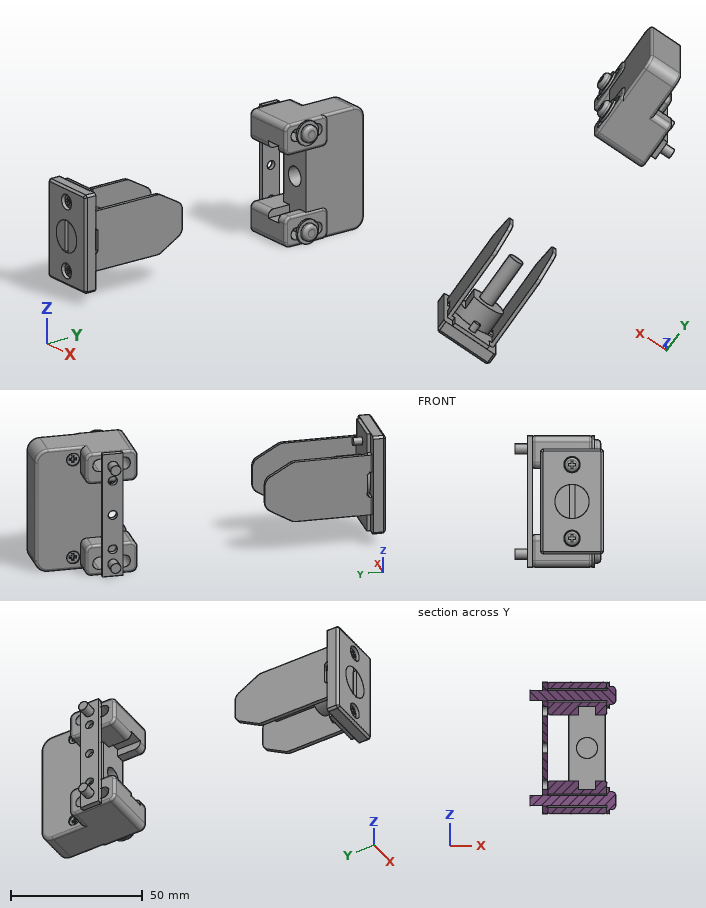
import cadquery as cq
import math

total_depth = 136.04

plate_width = 24.0
plate_height = 40.0
plate_thickness = 5.0
plate_chamfer = 0.9
sheet = 1.5
prong_outer_x = 10.7
prong_half_height = 12.2
prong_tip_y = 47.0
prong_taper_start_y = 36.0
prong_taper_angle = 30.0
prong_corner_radius = 4.0
bend_radius = 0.7
sheet_back_y = plate_thickness + sheet
tab_half_width = 8.0
tab_inset = 0.15
window_half_height = 5.1
window_chamfer = 1.0
window_end_y = 7.0

knob_radius = 6.5
driver_slot_width = 2.1
driver_slot_depth = 1.5
cam_radius = 8.0
cam_end_y = 16.0
cam_flat_x = 5.7
cam_flat_start_y = 10.2
shaft_radius = 3.1
shaft_end_y = 36.0

plate_screw_z = 14.0
plate_screw_radius = 1.5
plate_screw_end_y = 10.0
plate_head_radius = 2.75
plate_head_front_y = 0.9
plate_head_seat_y = 3.0
plate_head_fillet = 0.8
plate_counterbore_radius = 3.1

cross_span = 2.8
cross_arm = 0.9
cross_depth = 1.0

housing_depth = 38.0
housing_height = 50.0
housing_front_y = total_depth - housing_depth
body_half_width = 7.0
body_corner_radius = 5.0
edge_fillet = 1.0
foot_left_x = -15.0
foot_right_x = 7.55
foot_depth = 20.3
foot_inner_z = 12.5
foot_corner_radius = 2.5
wall_y = housing_front_y + foot_depth / 2
groove_width = 6.4
groove_depth = 3.2
socket_radius = 4.0
socket_depth = shaft_end_y - plate_thickness - foot_depth / 2
clamp_slot_length = 14.7
clamp_slot_width = 5.0
mark_y = 121.2
mark_radius = 2.5
mark_depth = 0.6

bar_thickness = 2.0
bar_width = 8.1
bar_left_x = foot_left_x - bar_thickness
bar_hole_radius = 1.75
bar_hole_pitch = 14.0

clamp_screw_z = 20.0
clamp_screw_radius = 2.0
clamp_screw_tip_x = -21.7
washer_radius = 5.0
washer_thickness = 0.95
clamp_head_radius = 3.5
clamp_head_rim = 0.95
clamp_head_crown_radius = 1.6
clamp_head_height = 2.35
clamp_head_bulge = 0.6

signs = (-1, 1)


def block(x0, x1, y0, y1, z0, z1):
    return cq.Workplane("XY").box(x1 - x0, y1 - y0, z1 - z0, centered=False).translate((x0, y0, z0))


def rod_along_x(radius, x0, x1, y, z):
    return cq.Workplane("YZ", origin=(x0, y, z)).circle(radius).extrude(x1 - x0)


def rod_along_y(radius, y0, y1, z=0.0):
    return cq.Workplane("XZ", origin=(0, y0, z)).circle(radius).extrude(y0 - y1)


def cross_cutter():
    """Two crossing bars centred on Z, from Z = 0 down to the recess depth."""
    arm_x = cq.Workplane("XY").rect(cross_span, cross_arm).extrude(-cross_depth)
    arm_y = cq.Workplane("XY").rect(cross_arm, cross_span).extrude(-cross_depth)
    return arm_x.union(arm_y)


def make_prong_sheet():
    """U-shaped sheet: two pointed prongs joined by a base whose tabs end just short of the plate edges."""
    taper = math.tan(math.radians(prong_taper_angle))
    tip_half_height = prong_half_height - (prong_tip_y - prong_taper_start_y) * taper
    outline = [
        (plate_thickness, -prong_half_height),
        (prong_taper_start_y, -prong_half_height),
        (prong_tip_y, -tip_half_height),
        (prong_tip_y, tip_half_height),
        (prong_taper_start_y, prong_half_height),
        (plate_thickness, prong_half_height),
    ]
    sheet_body = cq.Workplane("YZ", origin=(-prong_outer_x, 0, 0)).polyline(outline).close()
    sheet_body = sheet_body.extrude(2 * prong_outer_x)
    sheet_body = sheet_body.edges("|X and (not <Y)").fillet(prong_corner_radius)
    sheet_body = sheet_body.edges("<Y and |Z").fillet(bend_radius)
    inner_x = prong_outer_x - sheet
    sheet_body = sheet_body.cut(
        block(-inner_x, inner_x, sheet_back_y, prong_tip_y, -prong_half_height, prong_half_height)
    )
    half_height = plate_height / 2 - tab_inset
    tabs = block(-tab_half_width, tab_half_width, plate_thickness, sheet_back_y, -half_height, half_height)
    window = block(
        -prong_outer_x, prong_outer_x, plate_thickness, window_end_y, -window_half_height, window_half_height
    )
    window = window.edges("|X and >Y").chamfer(window_chamfer)
    return sheet_body.union(tabs).cut(window)


def make_face_plate():
    plate = block(
        -plate_width / 2, plate_width / 2, 0, plate_thickness, -plate_height / 2, plate_height / 2
    )
    plate = plate.edges("|Y").chamfer(plate_chamfer)
    plate = plate.faces("<Y").chamfer(plate_chamfer)
    plate = plate.union(make_prong_sheet())
    plate = plate.cut(rod_along_y(knob_radius, 0, plate_thickness))
    plate = plate.cut(rod_along_y(cam_radius, plate_thickness, sheet_back_y))
    for side in signs:
        z = side * plate_screw_z
        plate = plate.cut(rod_along_y(plate_counterbore_radius, 0, plate_head_seat_y, z))
        plate = plate.cut(rod_along_y(plate_screw_radius, 0, sheet_back_y, z))
    return plate


def make_cam():
    cam = rod_along_y(cam_radius, plate_thickness, cam_end_y)
    cam = cam.cut(block(cam_flat_x, cam_radius, cam_flat_start_y, cam_end_y, -cam_radius, cam_radius))
    cam = cam.union(rod_along_y(knob_radius, 0, plate_thickness))
    cam = cam.union(rod_along_y(shaft_radius, cam_end_y, shaft_end_y))
    half_slot = driver_slot_width / 2
    return cam.cut(block(-half_slot, half_slot, 0, driver_slot_depth, -knob_radius, knob_radius))


def make_plate_screw(z):
    head = rod_along_y(plate_head_radius, plate_head_front_y, plate_head_seat_y, z)
    head = head.faces("<Y").edges().fillet(plate_head_fillet)
    cross = cross_cutter().rotate((0, 0, 0), (1, 0, 0), 90).translate((0, plate_head_front_y, z))
    shank = rod_along_y(plate_screw_radius, plate_head_seat_y, plate_screw_end_y, z)
    return head.cut(cross).union(shank)


def make_foot(side):
    """Rounded foot with a groove, in line with the cam axis, in its face towards the middle."""
    z0 = foot_inner_z
    z1 = housing_height / 2
    foot = block(foot_left_x, foot_right_x, housing_front_y, housing_front_y + foot_depth, z0, z1)
    foot = foot.edges("|X").fillet(foot_corner_radius)
    foot = foot.faces("<X or >X").edges().fillet(edge_fillet)
    half_groove = groove_width / 2
    foot = foot.cut(block(-half_groove, half_groove, housing_front_y, wall_y, z0, z0 + groove_depth))
    return foot if side > 0 else foot.mirror("XY")


def make_housing():
    half_height = housing_height / 2
    body = block(-body_half_width, body_half_width, wall_y, total_depth, -half_height, half_height)
    body = body.edges("|X and >Y").fillet(body_corner_radius)
    body = body.faces("<X or >X").edges("not <Y").fillet(edge_fillet)
    for side in signs:
        body = body.union(make_foot(side))
    for side in signs:
        z = side * clamp_screw_z
        slot = cq.Workplane("YZ", origin=(foot_left_x, wall_y, z))
        slot = slot.slot2D(clamp_slot_length, clamp_slot_width).extrude(foot_right_x - foot_left_x)
        body = body.cut(slot)
        pocket_floor_x = mark_depth - body_half_width
        body = body.cut(rod_along_x(mark_radius, -body_half_width, pocket_floor_x, mark_y, z))
        cross = cross_cutter().rotate((0, 0, 0), (0, 1, 0), -90).translate((pocket_floor_x, mark_y, z))
        body = body.cut(cross)
    return body.cut(rod_along_y(socket_radius, wall_y, wall_y + socket_depth))


def make_clamp_bar():
    half_height = housing_height / 2
    bar = block(
        bar_left_x, foot_left_x, wall_y - bar_width / 2, wall_y + bar_width / 2, -half_height, half_height
    )
    for z in (-bar_hole_pitch, 0, bar_hole_pitch):
        bar = bar.cut(rod_along_x(bar_hole_radius, bar_left_x, foot_left_x, wall_y, z))
    for side in signs:
        bar = bar.cut(rod_along_x(clamp_screw_radius, bar_left_x, foot_left_x, wall_y, side * clamp_screw_z))
    return bar


def make_clamp_screw(z):
    """Shank, washer collar and domed head turned as one profile about the screw axis."""
    collar_x = foot_right_x + washer_thickness
    rim_x = collar_x + clamp_head_rim
    crown_x = collar_x + clamp_head_height
    profile = (
        cq.Workplane("XY")
        .moveTo(clamp_screw_tip_x, 0)
        .lineTo(clamp_screw_tip_x, clamp_screw_radius)
        .lineTo(foot_right_x, clamp_screw_radius)
        .lineTo(foot_right_x, washer_radius)
        .lineTo(collar_x, washer_radius)
        .lineTo(collar_x, clamp_head_radius)
        .lineTo(rim_x, clamp_head_radius)
        .sagittaArc((crown_x, clamp_head_crown_radius), clamp_head_bulge)
        .lineTo(crown_x, 0)
        .close()
    )
    return profile.revolve(360, (0, 0, 0), (1, 0, 0)).translate((0, wall_y, z))


face_plate = make_face_plate()
cam = make_cam()
plate_screws = [make_plate_screw(side * plate_screw_z) for side in signs]
housing = make_housing()
clamp_bar = make_clamp_bar()
clamp_screws = [make_clamp_screw(side * clamp_screw_z) for side in signs]

result = cq.Compound.makeCompound(
    [
        face_plate.val(),
        cam.val(),
        *[screw.val() for screw in plate_screws],
        housing.val(),
        clamp_bar.val(),
        *[screw.val() for screw in clamp_screws],
    ]
)